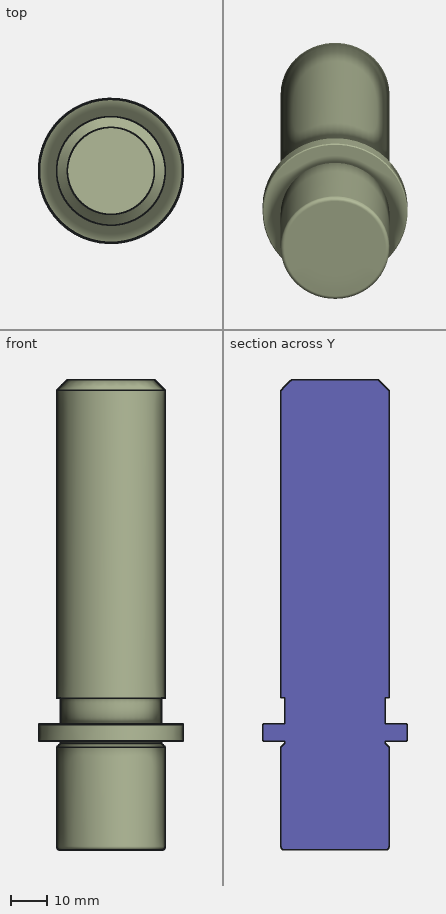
import cadquery as cq

total_length = 130.0
flange_bottom = 30.0
flange_thickness = 5.0
neck_length = 7.0
undercut_length = 0.5

shaft_diameter = 30.0
flange_diameter = 40.0
neck_diameter = 28.0
undercut_diameter = 28.0
tip_diameter = 24.0

tip_chamfer_height = 3.0
shank_chamfer = 1.0
shank_fillet = 1.0
flange_chamfer = 0.3

flange_top = flange_bottom + flange_thickness
neck_top = flange_top + neck_length
shank_top = flange_bottom - undercut_length


def cylinder(diameter, bottom, top):
    """Upright cylinder on the Z axis between two heights."""
    return cq.Workplane("XY").workplane(offset=bottom).circle(diameter / 2).extrude(top - bottom)


shank = cylinder(shaft_diameter, 0, shank_top)
shank = shank.faces("<Z").edges().fillet(shank_fillet)
shank = shank.faces(">Z").edges().chamfer(shank_chamfer)

undercut = cylinder(undercut_diameter, shank_top, flange_bottom)
flange = cylinder(flange_diameter, flange_bottom, flange_top).edges().chamfer(flange_chamfer)
neck = cylinder(neck_diameter, flange_top, neck_top)

tip_chamfer_width = (shaft_diameter - tip_diameter) / 2
shaft = cylinder(shaft_diameter, neck_top, total_length)
shaft = shaft.faces(">Z").chamfer(tip_chamfer_height, tip_chamfer_width)

result = shank.union(undercut).union(flange).union(neck).union(shaft)